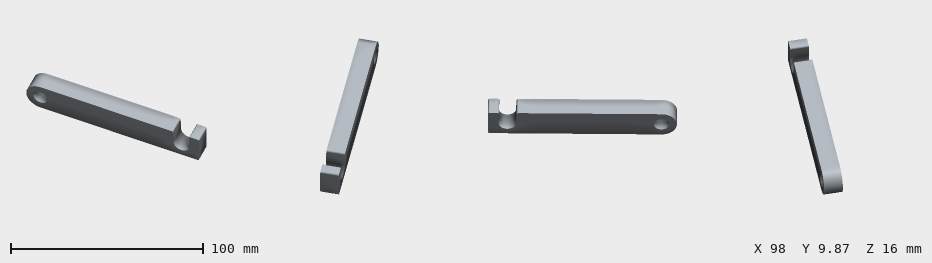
import cadquery as cq
import math

thickness = 9.87
end_radius = 8.0
pivot_hole_diameter = 8.0
overall_length = 98.0
slot_distance = 80.0
slot_width = 9.0
corner_radius = 1.0

tip_x = overall_length - end_radius
slot_radius = slot_width / 2
inner_wall_radius = slot_distance - slot_radius
outer_wall_radius = slot_distance + slot_radius
slot_cut_height = 1.5 * end_radius


def extrude_through(sketch):
    """Extrude an XZ sketch over the full thickness, centred on Y = 0."""
    return sketch.extrude(thickness / 2, both=True)


def point_on_swing(radius, height):
    """Point at a given height on a circle around the pivot."""
    return (math.sqrt(radius**2 - height**2), height)


def make_bar():
    """Bar with a round pivot end and two rounded corners at the tip."""
    outline = (
        cq.Workplane("XZ")
        .moveTo(0, end_radius)
        .threePointArc((-end_radius, 0), (0, -end_radius))
        .lineTo(tip_x, -end_radius)
        .lineTo(tip_x, end_radius)
        .close()
    )
    return extrude_through(outline).edges(">X and |Y").fillet(corner_radius)


def make_pivot_hole():
    """Through hole concentric with the round end."""
    return extrude_through(cq.Workplane("XZ").circle(pivot_hole_diameter / 2))


def make_slot():
    """Open hook slot: round bottom, walls curved about the pivot."""
    outline = (
        cq.Workplane("XZ")
        .moveTo(inner_wall_radius, 0)
        .threePointArc((slot_distance, -slot_radius), (outer_wall_radius, 0))
        .threePointArc(
            point_on_swing(outer_wall_radius, slot_cut_height / 2),
            point_on_swing(outer_wall_radius, slot_cut_height),
        )
        .lineTo(*point_on_swing(inner_wall_radius, slot_cut_height))
        .threePointArc(
            point_on_swing(inner_wall_radius, slot_cut_height / 2),
            (inner_wall_radius, 0),
        )
        .close()
    )
    return extrude_through(outline)


def round_slot_mouth(body):
    """Round the two top edges where the slot opens."""
    edge_margin = 0.1
    mouth_start = point_on_swing(inner_wall_radius, end_radius)[0]
    mouth_end = point_on_swing(outer_wall_radius, end_radius)[0]
    mouth = cq.selectors.BoxSelector(
        (mouth_start - edge_margin, -thickness, end_radius - edge_margin),
        (mouth_end + edge_margin, thickness, end_radius + edge_margin),
    )
    return body.edges("|Y").edges(mouth).fillet(corner_radius)


hook_bar = make_bar().cut(make_pivot_hole()).cut(make_slot())
result = round_slot_mouth(hook_bar)